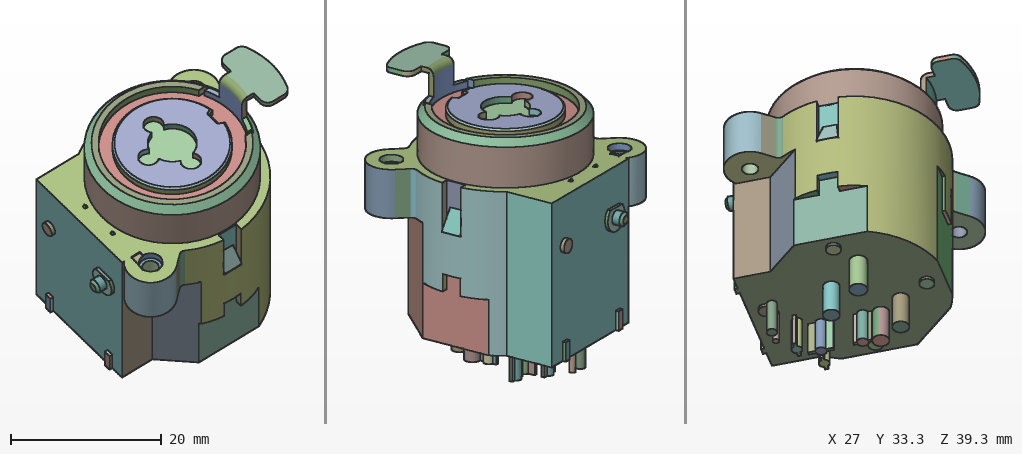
import cadquery as cq
import math


OVERALL_WIDTH = 27.0
OVERALL_HEIGHT = 39.3
PIN_LENGTH = 5.0

HOUSING_RADIUS = 13.0
HOUSING_TOP = 23.6
BOX_LEFT = -10.73
BOX_RIGHT = 7.65
BOX_FRONT = -14.5

EAR_X = 10.0
EAR_Y = 11.5
EAR_HEIGHT = 7.05
EAR_BOTTOM = HOUSING_TOP - EAR_HEIGHT
EAR_RADIUS = OVERALL_WIDTH / 2 - EAR_X
EAR_ANGLE = math.degrees(math.atan2(EAR_Y, -EAR_X))
EAR_REACH = math.hypot(EAR_X, EAR_Y)
NECK_FILLET = 0.83
MOUNT_HOLE_DIAMETER = 2.2
COUNTERBORE_DIAMETER = 3.2
COUNTERBORE_DEPTH = 1.0
EAR_POCKET_WIDTH = 1.45
EAR_POCKET_DEPTH = 0.2

EAR_RELIEFS = ((136.6, 12.25), (-43.4, 12.03))
SIDE_FLAT = 11.9
SIDE_FLAT_TOP = 7.98
REAR_FLAT = 12.5
TAB_NOTCH_TOP = 10.55
TAB_NOTCH_WIDTH = 2.83

SNAP_SLOT_WIDTH = 3.0
SNAP_SLOT_FLOOR = 11.83
SNAP_OUTER = 13.05
SNAP_HEIGHT = 3.25
SNAP_TOP_WIDTH = 1.9

RING_RADIUS = 23.4 / 2
RING_TOP = 30.45
RING_CHAMFER = 1.0
RIM_INNER_RADIUS = 9.8
RIM_DEPTH = 1.18

DISC_RADIUS = 7.95
DISC_CHAMFER = 0.28
KEYWAY_MOUTH_WIDTH = 3.45
KEYWAY_MOUTH_Y = 8.72
KEYWAY_FLOOR_WIDTH = 1.9
KEYWAY_FLOOR_Y = 7.05
SOCKET_RADIUS = 3.25
CONTACT_HOLE_RADIUS = 1.38
CONTACT_PITCH_RADIUS = 4.0
SOCKET_DEPTH = 0.95

LATCH_TOP = OVERALL_HEIGHT - PIN_LENGTH
LATCH_THICKNESS = 0.75
LATCH_TIP_Y = 16.82
LATCH_SHOULDER_Y = 15.65
LATCH_BACK_Y = 11.8
LATCH_WIDTH = 10.3
LATCH_CORNER = 1.2
LATCH_NECK_WIDTH = 4.87
LATCH_INNER_RADIUS = 10.15
LATCH_OUTER_RADIUS = 10.9
LATCH_BEND_RADIUS = 1.02
LATCH_FOOT_WIDTH = 9.2
LATCH_FOOT_DROP = 0.1
LATCH_SLOT_WIDTH = 10.0
LATCH_SLOT_RADIUS = 10.95

STUD_Z = 16.55
STUD_DIAMETER = 2.0
BUTTON_X = -7.65
BUTTON_HEIGHT = 0.6
COLLAR_X = 4.0
COLLAR_RADIUS = 2.0
COLLAR_HEIGHT = 0.47
COLLAR_FLAT = 1.45
STUD_TIP_Y = -16.5
STUD_CHAMFER = 0.4

RIB_CENTRES = (-7.6, 5.07)
RIB_WIDTH = 1.02
RIB_HEIGHT = 2.8
RIB_DEPTH = 0.47

PIP_X = 2.95
PIP_Y = -12.35
PIP_SIZE = 0.47
PIP_HEIGHT = 0.28

FOOT_CENTRES = ((-10.02, 0), (10.02, 0), (0, 10.0), (0.6, -12.05))
FOOT_DIAMETER = 2.0
FOOT_HEIGHT = 0.45
ROUND_PINS = (
    (-4.3, 2.4, 2.28),
    (-2.35, 5.7, 2.28),
    (2.48, -2.48, 2.28),
    (6.45, 2.4, 2.45),
    (-0.5, -11.0, 0.85),
    (1.35, -11.0, 1.4),
)
WINGED_CONTACTS = (
    (-6.65, -6.1, 1.5, 2.45, 0),
    (-2.95, -8.8, 1.45, 2.65, 0),
    (-3.93, 0.0, 1.57, 2.55, 90),
    (-4.13, -5.8, 1.57, 3.45, 90),
)
WING_THICKNESS = 0.47


def cylinder(x, y, bottom, top, radius):
    return cq.Workplane("XY", origin=(x, y, bottom)).circle(radius).extrude(top - bottom)


def block(x_range, y_range, z_range):
    lows, highs = zip(x_range, y_range, z_range)
    sizes = [high - low for low, high in zip(lows, highs)]
    return cq.Workplane("XY").box(*sizes, centered=False).translate(lows)


def arc_segment(inner, outer, width, bottom, top):
    """Part of a ring on the +Y side, limited to a width across X."""
    band = cylinder(0, 0, bottom, top, outer).cut(cylinder(0, 0, bottom, top, inner))
    return band.intersect(block((-width / 2, width / 2), (0, outer), (bottom, top)))


def front_cylinder(x, z, radius, height):
    """Cylinder standing out of the front face toward -Y."""
    return cq.Workplane("XZ", origin=(x, BOX_FRONT, z)).circle(radius).extrude(height)


def lower_housing():
    body = cylinder(0, 0, 0, EAR_BOTTOM, HOUSING_RADIUS)
    far = 2 * HOUSING_RADIUS
    for angle, distance in EAR_RELIEFS:
        waste = block((distance, far), (-far, far), (0, EAR_BOTTOM))
        body = body.cut(waste.rotate((0, 0, 0), (0, 0, 1), angle))

    half_notch = TAB_NOTCH_WIDTH / 2
    for angle in (0, 180):
        flat = block((SIDE_FLAT, far), (-far, far), (0, SIDE_FLAT_TOP))
        notch = block((SIDE_FLAT, far), (-half_notch, half_notch), (0, TAB_NOTCH_TOP))
        body = body.cut(flat.union(notch).rotate((0, 0, 0), (0, 0, 1), angle))

    rear = block((-far, far), (REAR_FLAT, far), (0, EAR_BOTTOM))
    rear_tab = block((-half_notch, half_notch), (REAR_FLAT, far), (TAB_NOTCH_TOP, EAR_BOTTOM))
    return body.cut(rear.cut(rear_tab))


def flange():
    """Round flange with two opposite filleted ears, built along X and turned to the diagonal."""
    plate = cylinder(0, 0, EAR_BOTTOM, HOUSING_TOP, HOUSING_RADIUS)
    ears = (
        cq.Workplane("XY", origin=(0, 0, EAR_BOTTOM))
        .slot2D(2 * (EAR_REACH + EAR_RADIUS), 2 * EAR_RADIUS)
        .extrude(EAR_HEIGHT)
    )
    plate = plate.union(ears)
    neck_corners = cq.selectors.BoxSelector(
        (-HOUSING_RADIUS, -HOUSING_RADIUS, EAR_BOTTOM), (HOUSING_RADIUS, HOUSING_RADIUS, HOUSING_TOP)
    )
    plate = plate.edges("|Z").edges(neck_corners).fillet(NECK_FILLET)
    return plate.rotate((0, 0, 0), (0, 0, 1), EAR_ANGLE)


def mounting_holes():
    tool = cq.Workplane("XY")
    for x, y in ((-EAR_X, EAR_Y), (EAR_X, -EAR_Y)):
        tool = tool.union(cylinder(x, y, EAR_BOTTOM, HOUSING_TOP, MOUNT_HOLE_DIAMETER / 2))
        tool = tool.union(
            cylinder(x, y, HOUSING_TOP - COUNTERBORE_DEPTH, HOUSING_TOP, COUNTERBORE_DIAMETER / 2)
        )
    pocket = block(
        (BOX_RIGHT, EAR_X),
        (-EAR_Y - EAR_POCKET_WIDTH, -EAR_Y),
        (HOUSING_TOP - EAR_POCKET_DEPTH, HOUSING_TOP),
    )
    return tool.union(pocket)


def snap_slot():
    """Slot down the +X side of the flange."""
    half = SNAP_SLOT_WIDTH / 2
    return block((SNAP_SLOT_FLOOR, SNAP_OUTER), (-half, half), (EAR_BOTTOM, HOUSING_TOP))


def snap_wedge():
    """Tapered catch at the foot of the slot on the +X side."""
    top = EAR_BOTTOM + SNAP_HEIGHT
    ramp = (
        cq.Workplane("XZ")
        .polyline([(SNAP_SLOT_FLOOR, EAR_BOTTOM), (SNAP_OUTER, EAR_BOTTOM), (SNAP_SLOT_FLOOR, top)])
        .close()
        .extrude(SNAP_SLOT_WIDTH / 2, both=True)
    )
    face = (
        cq.Workplane("YZ")
        .polyline([
            (-SNAP_SLOT_WIDTH / 2, EAR_BOTTOM),
            (SNAP_SLOT_WIDTH / 2, EAR_BOTTOM),
            (SNAP_TOP_WIDTH / 2, top),
            (-SNAP_TOP_WIDTH / 2, top),
        ])
        .close()
        .extrude(SNAP_OUTER)
    )
    return ramp.intersect(face)


def housing():
    box = block((BOX_LEFT, BOX_RIGHT), (BOX_FRONT, 0), (0, HOUSING_TOP))
    body = lower_housing().union(flange()).union(box).cut(mounting_holes())
    for angle in (0, 180):
        body = body.cut(snap_slot().rotate((0, 0, 0), (0, 0, 1), angle))
        body = body.union(snap_wedge().rotate((0, 0, 0), (0, 0, 1), angle))
    return body


def ring():
    floor = RING_TOP - RIM_DEPTH
    body = cylinder(0, 0, HOUSING_TOP, RING_TOP, RING_RADIUS).faces(">Z").chamfer(RING_CHAMFER)
    body = body.cut(cylinder(0, 0, floor, RING_TOP, RIM_INNER_RADIUS))
    return body.cut(
        arc_segment(RIM_INNER_RADIUS, LATCH_SLOT_RADIUS, LATCH_SLOT_WIDTH, floor, RING_TOP)
    )


def socket_disc():
    disc = cylinder(0, 0, RING_TOP - RIM_DEPTH, RING_TOP, DISC_RADIUS)
    keyway = (
        cq.Workplane("XY", origin=(0, 0, RING_TOP - RIM_DEPTH))
        .polyline([
            (-KEYWAY_FLOOR_WIDTH / 2, KEYWAY_FLOOR_Y),
            (KEYWAY_FLOOR_WIDTH / 2, KEYWAY_FLOOR_Y),
            (KEYWAY_MOUTH_WIDTH / 2, KEYWAY_MOUTH_Y),
            (-KEYWAY_MOUTH_WIDTH / 2, KEYWAY_MOUTH_Y),
        ])
        .close()
        .extrude(RIM_DEPTH)
    )
    return disc.cut(keyway).faces(">Z").chamfer(DISC_CHAMFER)


def socket_opening():
    bottom = RING_TOP - SOCKET_DEPTH
    opening = cylinder(0, 0, bottom, RING_TOP, SOCKET_RADIUS)
    for angle in (180, 270, 360):
        x = CONTACT_PITCH_RADIUS * math.cos(math.radians(angle))
        y = CONTACT_PITCH_RADIUS * math.sin(math.radians(angle))
        opening = opening.union(cylinder(x, y, bottom, RING_TOP, CONTACT_HOLE_RADIUS))
    return opening


def latch():
    under = LATCH_TOP - LATCH_THICKNESS
    half = LATCH_WIDTH / 2
    plate = (
        cq.Workplane("XY", origin=(0, 0, under))
        .moveTo(-half, LATCH_BACK_Y)
        .lineTo(half, LATCH_BACK_Y)
        .lineTo(half, LATCH_SHOULDER_Y)
        .threePointArc((0, LATCH_TIP_Y), (-half, LATCH_SHOULDER_Y))
        .close()
        .extrude(LATCH_THICKNESS)
        .edges("|Z")
        .fillet(LATCH_CORNER)
    )
    half_neck = LATCH_NECK_WIDTH / 2
    neck = block((-half_neck, half_neck), (0, LATCH_BACK_Y), (under, LATCH_TOP))
    neck = neck.cut(cylinder(0, 0, under, LATCH_TOP, LATCH_INNER_RADIUS))
    floor = RING_TOP - RIM_DEPTH
    strip = arc_segment(LATCH_INNER_RADIUS, LATCH_OUTER_RADIUS, LATCH_NECK_WIDTH, floor, LATCH_TOP)
    bend_edge = cq.selectors.NearestToPointSelector((0, LATCH_INNER_RADIUS, LATCH_TOP))
    hook = neck.union(strip).edges(bend_edge).fillet(LATCH_BEND_RADIUS)
    foot = arc_segment(
        LATCH_INNER_RADIUS, LATCH_OUTER_RADIUS, LATCH_FOOT_WIDTH, floor, RING_TOP - LATCH_FOOT_DROP
    )
    return plate.union(hook).union(foot)


def front_details():
    button = front_cylinder(BUTTON_X, STUD_Z, STUD_DIAMETER / 2, BUTTON_HEIGHT)
    collar = front_cylinder(COLLAR_X, STUD_Z, COLLAR_RADIUS, COLLAR_HEIGHT)
    collar = collar.cut(
        block(
            (COLLAR_X - COLLAR_RADIUS, COLLAR_X + COLLAR_RADIUS),
            (BOX_FRONT - COLLAR_HEIGHT, BOX_FRONT),
            (STUD_Z + COLLAR_FLAT, STUD_Z + COLLAR_RADIUS),
        )
    )
    stud = front_cylinder(COLLAR_X, STUD_Z, STUD_DIAMETER / 2, BOX_FRONT - STUD_TIP_Y)
    details = button.union(collar).union(stud.faces("<Y").chamfer(STUD_CHAMFER))
    for x in RIB_CENTRES:
        rib = block(
            (x - RIB_WIDTH / 2, x + RIB_WIDTH / 2), (BOX_FRONT - RIB_DEPTH, BOX_FRONT), (0, RIB_HEIGHT)
        )
        details = details.union(rib)
    return details


def shoulder_pips():
    """Two small ridges with a triangular section on the shoulder."""
    half = PIP_SIZE / 2
    profile = [
        (PIP_Y - half, HOUSING_TOP),
        (PIP_Y + half, HOUSING_TOP),
        (PIP_Y, HOUSING_TOP + PIP_HEIGHT),
    ]
    pips = cq.Workplane("XY")
    for x in (-PIP_X, PIP_X):
        pips = pips.union(
            cq.Workplane("YZ", origin=(x, 0, 0)).polyline(profile).close().extrude(half, both=True)
        )
    return pips


def underside():
    parts = cq.Workplane("XY")
    for x, y in FOOT_CENTRES:
        parts = parts.union(cylinder(x, y, -FOOT_HEIGHT, 0, FOOT_DIAMETER / 2))
    for x, y, diameter in ROUND_PINS:
        parts = parts.union(cylinder(x, y, -PIN_LENGTH, 0, diameter / 2))
    for x, y, core, span, direction in WINGED_CONTACTS:
        wing = (
            cq.Workplane("XY", origin=(0, 0, -PIN_LENGTH))
            .rect(span, WING_THICKNESS)
            .extrude(PIN_LENGTH)
            .rotate((0, 0, 0), (0, 0, 1), direction)
            .translate((x, y, 0))
        )
        parts = parts.union(cylinder(x, y, -PIN_LENGTH, 0, core / 2)).union(wing)
    return parts


result = (
    housing()
    .union(ring())
    .union(socket_disc())
    .cut(socket_opening())
    .union(latch())
    .union(front_details())
    .union(shoulder_pips())
    .union(underside())
)